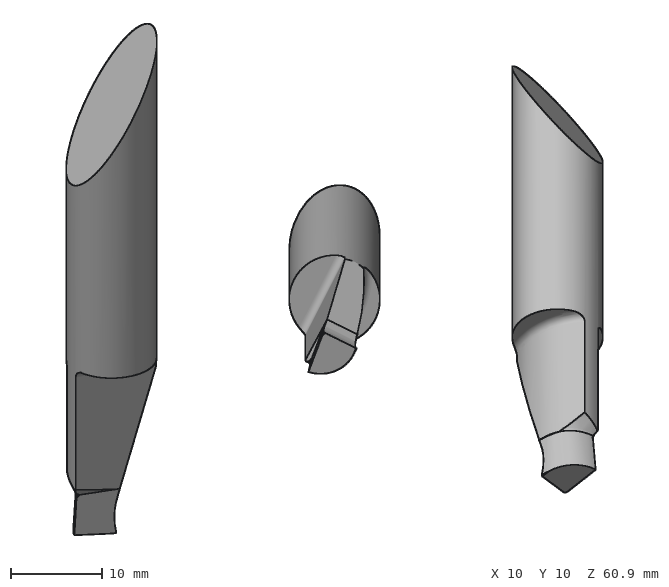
import cadquery as cq
import math

TOTAL_HEIGHT = 60.9
SHANK_RADIUS = 5.0
SHANK_SLOPE = 60.0
SHOULDER_Z = 21.1
SHOULDER_FILLET = 0.9

NECK_LEFT_X = -2.55
NECK_RIGHT_X = 1.15
NECK_CORNER_X = -1.15
NECK_OVERSIZE = 0.6

BACK_TOP_Z = 19.9
BACK_FOOT_Z = 3.8

HEAD_TOP_Z = 5.35
HEAD_TOP_FRONT_Y = -4.5
HEAD_TOP_FRONT_X = 0.7
HEAD_TOP_LAND = 0.7
TIP_LEFT_X = -2.75
TIP_RIGHT_X = 1.35
TIP_FRONT_Y = -4.9
TIP_FRONT_X = 0.8
TIP_LAND = 0.8
TIP_RELIEF = 0.55
TIP_CORNER_RADIUS = 0.2
CHIP_GROOVE_DEPTH = 0.215
FLARE_HEIGHT = 3.05
FLARE_ANGLE = 26.0
FLARE_FILLET = 1.2
HEAD_BACK_Y = 1.2

CLEARANCE = 3.05


def side_block(outline):
    """Extrude a closed (y, z) outline symmetrically across the whole width."""
    return outline.close().extrude(SHANK_RADIUS + CLEARANCE, both=True)


def make_shank():
    slope_drop = 2 * SHANK_RADIUS * math.tan(math.radians(SHANK_SLOPE))
    rod = cq.Workplane("XY").workplane(offset=SHOULDER_Z).circle(SHANK_RADIUS)
    rod = rod.extrude(TOTAL_HEIGHT - SHOULDER_Z)
    slope = cq.Workplane("YZ").polyline([
        (-SHANK_RADIUS, TOTAL_HEIGHT - slope_drop),
        (SHANK_RADIUS, TOTAL_HEIGHT),
        (-SHANK_RADIUS, TOTAL_HEIGHT),
    ])
    return rod.cut(side_block(slope))


def neck_outline(plane):
    """Outline with a bowed -X side, reaching past the shank circle in Y."""
    corner_y = math.sqrt(SHANK_RADIUS**2 - NECK_CORNER_X**2)
    bow = NECK_CORNER_X - NECK_LEFT_X
    bow_radius = (corner_y**2 + bow**2) / (2 * bow)
    end_y = SHANK_RADIUS + NECK_OVERSIZE
    end_x = NECK_LEFT_X + bow_radius - math.sqrt(bow_radius**2 - end_y**2)
    return (
        plane.moveTo(NECK_RIGHT_X, -end_y)
        .lineTo(NECK_RIGHT_X, end_y)
        .lineTo(end_x, end_y)
        .threePointArc((NECK_LEFT_X, 0), (end_x, -end_y))
        .close()
    )


def head_outline(plane, left, right, front_y, front_x, land):
    """Narrow upright land on the left, then a round clearance to the front corner."""
    run = front_x - left
    fall = -front_y - land
    radius = (run**2 + fall**2) / (2 * run)
    center_x = left + radius
    sweep = math.atan2(fall, center_x - front_x)
    arc_middle = (
        center_x - radius * math.cos(sweep / 2),
        -land - radius * math.sin(sweep / 2),
    )
    return (
        plane.moveTo(left, HEAD_BACK_Y)
        .lineTo(left, -land)
        .threePointArc(arc_middle, (front_x, front_y))
        .lineTo(right, 0)
        .lineTo(right, HEAD_BACK_Y)
        .close()
    )


def head_top_outline(plane):
    return head_outline(
        plane, NECK_LEFT_X, NECK_RIGHT_X, HEAD_TOP_FRONT_Y, HEAD_TOP_FRONT_X, HEAD_TOP_LAND
    )


def make_back_cutter():
    far_y = SHANK_RADIUS + CLEARANCE
    outline = (
        cq.Workplane("YZ").moveTo(0, 0)
        .threePointArc((-CHIP_GROOVE_DEPTH, BACK_FOOT_Z / 2), (0, BACK_FOOT_Z))
        .lineTo(SHANK_RADIUS, BACK_TOP_Z)
        .lineTo(far_y, BACK_TOP_Z)
        .lineTo(far_y, 0)
    )
    return side_block(outline)


def make_head_blank():
    """Head tapering up to the neck, blended into a flare that opens upward into the neck."""
    tip = head_outline(
        cq.Workplane("XY"), TIP_LEFT_X, TIP_RIGHT_X, TIP_FRONT_Y, TIP_FRONT_X, TIP_LAND
    ).wires().val()
    top_plane = cq.Workplane("XY").workplane(offset=HEAD_TOP_Z)
    top = head_top_outline(top_plane).wires().val()
    taper = cq.Workplane(cq.Solid.makeLoft([tip, top], True))
    spread = FLARE_HEIGHT * math.tan(math.radians(FLARE_ANGLE))
    flare_top = head_outline(
        cq.Workplane("XY").workplane(offset=HEAD_TOP_Z + FLARE_HEIGHT),
        NECK_LEFT_X - spread,
        NECK_RIGHT_X + spread,
        HEAD_TOP_FRONT_Y - spread,
        HEAD_TOP_FRONT_X + spread,
        HEAD_TOP_LAND,
    ).wires().val()
    flare = cq.Workplane(cq.Solid.makeLoft([top, flare_top], True))
    blend_edges = cq.selectors.BoxSelector(
        (TIP_LEFT_X, TIP_FRONT_Y, HEAD_TOP_Z - 0.05),
        (TIP_FRONT_X, 0, HEAD_TOP_Z + 0.05),
    )
    return taper.union(flare).edges(blend_edges).fillet(FLARE_FILLET)


def make_head_zone():
    """Block that holds everything below the joint between head and neck."""
    size = 2 * (SHANK_RADIUS + CLEARANCE)
    return cq.Workplane("XY").rect(size, size).extrude(HEAD_TOP_Z)


def make_flare_cutter(blank):
    """Remove the neck's lower front and left, outside the flare above the head."""
    size = 2 * (SHANK_RADIUS + CLEARANCE)
    block = cq.Workplane("XY").workplane(offset=HEAD_TOP_Z).rect(size, size).extrude(FLARE_HEIGHT)
    behind = cq.Workplane("XY").workplane(offset=HEAD_TOP_Z).rect(
        2 * SHANK_RADIUS, SHANK_RADIUS
    ).extrude(FLARE_HEIGHT).translate((0, SHANK_RADIUS / 2, 0))
    return block.cut(blank).cut(behind)


def make_holder(blank):
    """Shank and neck, with a fillet under the shoulder on both sides of the neck."""
    neck_height = SHOULDER_Z - HEAD_TOP_Z
    neck = neck_outline(cq.Workplane("XY").workplane(offset=HEAD_TOP_Z)).extrude(neck_height)
    slab_size = 4 * SHANK_RADIUS
    slab = cq.Workplane("XY").workplane(offset=SHOULDER_Z).rect(slab_size, slab_size)
    slab = slab.extrude(SHANK_RADIUS)
    neck_and_slab = neck.union(slab)
    root_edges = cq.selectors.BoxSelector(
        (NECK_LEFT_X - 0.05, -0.6, SHOULDER_Z - 0.05),
        (NECK_RIGHT_X + 0.05, 0.6, SHOULDER_Z + 0.05),
    )
    neck_and_slab = neck_and_slab.edges(root_edges).fillet(SHOULDER_FILLET)
    rod = cq.Workplane("XY").circle(SHANK_RADIUS).extrude(SHOULDER_Z)
    neck = neck_and_slab.intersect(rod).cut(make_back_cutter()).cut(make_flare_cutter(blank))
    return make_shank().union(neck)


def make_head(blank):
    """Head widening toward its lower cutting edge, with a relieved underside."""
    head = blank.intersect(make_head_zone())
    head = head.cut(make_back_cutter())
    relief = cq.Workplane("YZ").polyline([
        (0, 0), (TIP_FRONT_Y, TIP_RELIEF), (TIP_FRONT_Y, -CLEARANCE), (0, -CLEARANCE),
    ])
    head = head.cut(side_block(relief))
    envelope = (
        cq.Workplane("XY").rect(TIP_RIGHT_X - TIP_LEFT_X, 4 * SHANK_RADIUS).extrude(HEAD_TOP_Z)
        .translate(((TIP_RIGHT_X + TIP_LEFT_X) / 2, 0, 0))
        .edges("|Y and <Z").fillet(TIP_CORNER_RADIUS)
    )
    return head.intersect(envelope)


head_blank = make_head_blank()
holder = make_holder(head_blank)
head = make_head(head_blank)
result = cq.Compound.makeCompound([holder.val(), head.val()])